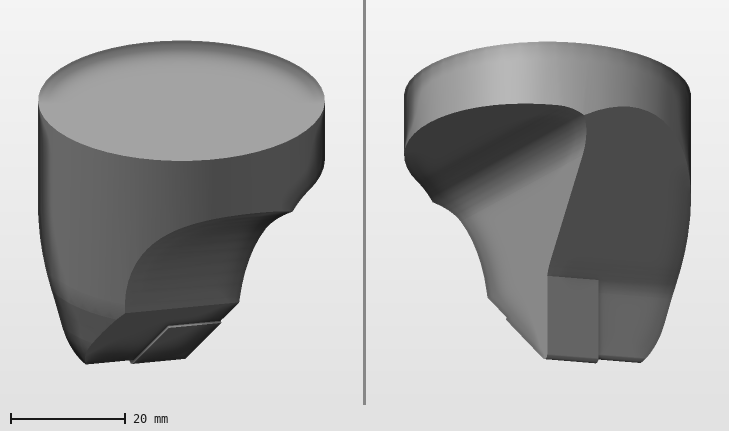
import cadquery as cq
import math

shank_radius = 25.0
shank_length = 55.0

relief_start_z = -28.5
relief_cone_top = (24.75, -31.85)
relief_cone_bottom = (23.4, -38.5)
relief_arc_radius = 15.5

rake_angle = 9.0
rake_offset = 8.25
pocket_floor_z = -10.85
pocket_floor_angle = 5.0
pocket_fillet = 8.0

nose_radius = 0.8
insert_nose = (0.0, -48.15)
body_nose = (0.15, -47.35)
left_flank_angle = 13.0
right_flank_angle = 42.0
shoulder_angle = 41.4
shoulder_corner_v = -34.55
shoulder_fillet = 10.0
neck_right_x = 14.1
throat_radius = 24.5
throat_start_v = -32.0
outline_half_width = 31.0
outline_top_v = 10.0

insert_thickness = 11.0
insert_left_top_v = -34.95
insert_right_x = 9.7
insert_seat_depth = 2.5

reach = 35.0


def slope(angle):
    return math.tan(math.radians(angle))


def nose_points(center):
    """Start, lowest and end points of the nose arc, running left to right."""
    x, v = center
    left = math.radians(180 + left_flank_angle)
    right = math.radians(-right_flank_angle)
    return [
        (x + nose_radius * math.cos(a), v + nose_radius * math.sin(a))
        for a in (left, -math.pi / 2, right)
    ]


def left_flank_x(center, v):
    start = nose_points(center)[0]
    return start[0] - (v - start[1]) * slope(left_flank_angle)


def right_flank_v(center, x):
    end = nose_points(center)[2]
    return end[1] + (x - end[0]) / slope(right_flank_angle)


def rake_plane():
    """Plane through the origin, parallel to the rake face; its normal points to -Y."""
    angle = math.radians(rake_angle)
    return cq.Plane(
        origin=(0, 0, 0),
        xDir=(1, 0, 0),
        normal=(0, -math.cos(angle), math.sin(angle)),
    )


def relieved_shank():
    run = relief_cone_top[0] - relief_cone_bottom[0]
    drop = relief_cone_top[1] - relief_cone_bottom[1]
    cone_angle = math.atan2(run, drop)
    center_r = relief_cone_bottom[0] - relief_arc_radius * math.cos(cone_angle)
    center_z = relief_cone_bottom[1] + relief_arc_radius * math.sin(cone_angle)
    arc_end = (center_r, center_z - relief_arc_radius)
    middle = (cone_angle + math.pi / 2) / 2
    arc_middle = (
        center_r + relief_arc_radius * math.cos(middle),
        center_z - relief_arc_radius * math.sin(middle),
    )
    return (
        cq.Workplane("XZ")
        .lineTo(shank_radius, 0)
        .lineTo(shank_radius, relief_start_z)
        .tangentArcPoint(relief_cone_top, relative=False)
        .lineTo(*relief_cone_bottom)
        .threePointArc(arc_middle, arc_end)
        .lineTo(0, arc_end[1])
        .close()
        .revolve(360, (0, 0, 0), (0, 1, 0))
    )


def rake_pocket():
    def rake_y(z):
        angle = math.radians(rake_angle)
        return (rake_offset + z * math.sin(angle)) / math.cos(angle)

    floor_slope = slope(pocket_floor_angle)
    rim_gap = shank_radius - rake_offset / math.cos(math.radians(rake_angle))
    floor_z = pocket_floor_z - floor_slope * rim_gap
    corner_z = floor_z / (1 - floor_slope * slope(rake_angle))
    floor_end_z = pocket_floor_z + floor_slope * (reach - shank_radius)
    corner = (rake_y(corner_z), corner_z)
    return (
        cq.Workplane("YZ")
        .polyline([
            corner,
            (reach, floor_end_z),
            (reach, -shank_length),
            (rake_y(-shank_length), -shank_length),
        ])
        .close()
        .extrude(reach, both=True)
        .edges(cq.selectors.NearestToPointSelector((0, *corner)))
        .fillet(pocket_fillet)
    )


def body_prism():
    """Tool outline swept square to the rake face."""
    nose_start, nose_bottom, nose_end = nose_points(body_nose)
    corner_x = left_flank_x(body_nose, shoulder_corner_v)
    shoulder_run = outline_half_width + corner_x
    shoulder_top_v = shoulder_corner_v + shoulder_run / slope(shoulder_angle)

    def throat_point(x):
        across = throat_radius - (x - neck_right_x)
        return (x, throat_start_v + math.sqrt(throat_radius**2 - across**2))

    prism = (
        cq.Workplane(rake_plane())
        .moveTo(-outline_half_width, outline_top_v)
        .lineTo(-outline_half_width, shoulder_top_v)
        .lineTo(corner_x, shoulder_corner_v)
        .lineTo(*nose_start)
        .threePointArc(nose_bottom, nose_end)
        .lineTo(neck_right_x, right_flank_v(body_nose, neck_right_x))
        .lineTo(neck_right_x, throat_start_v)
        .threePointArc(
            throat_point((neck_right_x + outline_half_width) / 2),
            throat_point(outline_half_width),
        )
        .lineTo(outline_half_width, outline_top_v)
        .close()
        .extrude(reach, both=True)
    )
    corner = rake_plane().toWorldCoords((corner_x, shoulder_corner_v, 0))
    return prism.edges(cq.selectors.NearestToPointSelector(corner.toTuple())).fillet(shoulder_fillet)


def insert():
    nose_start, nose_bottom, nose_end = nose_points(insert_nose)
    right_v = right_flank_v(insert_nose, insert_right_x)
    angle = math.radians(right_flank_angle)
    seat_corner = (
        insert_right_x - insert_seat_depth * math.cos(angle),
        right_v + insert_seat_depth * math.sin(angle),
    )
    return (
        cq.Workplane(rake_plane())
        .workplane(offset=-rake_offset)
        .moveTo(left_flank_x(insert_nose, insert_left_top_v), insert_left_top_v)
        .lineTo(*nose_start)
        .threePointArc(nose_bottom, nose_end)
        .lineTo(insert_right_x, right_v)
        .lineTo(*seat_corner)
        .close()
        .extrude(insert_thickness)
    )


body = relieved_shank().intersect(body_prism()).cut(rake_pocket())
result = body.union(insert())